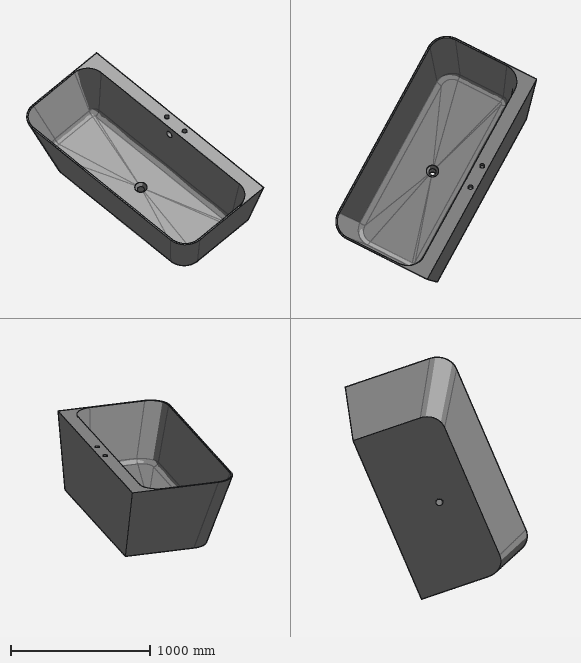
import cadquery as cq

height = 550.0

rim_half_width = 845.0
rim_front = -800.0
rim_radius = 149.0
base_half_width = 688.0
base_front = -652.0
base_radius = 135.0

lip = 12.0
mouth_half_width = rim_half_width - lip
mouth_back = -101.0
mouth_front = rim_front + lip
mouth_radius = 135.0

floor_z = 134.0
floor_half_width = 708.0
floor_back = -159.0
floor_front = -668.0
floor_back_radius = 42.0
floor_front_radius = 122.0
floor_fillet = 40.0

drain_y = -400.0
drain_radius = 25.0
drain_rim_radius = 44.0
drain_rim_depth = 25.0
floor_fall = 15.0
fall_end_scale = 0.05

tap_half_spacing = 90.0
tap_y = -45.0
tap_radius = 17.0
tap_depth = 50.0
overflow_z = 482.0
overflow_radius = 25.0
overflow_end_y = -76.0


def outline(half_width, back, front, back_radius, front_radius, z):
    """Closed rectangle with rounded front corners and, if back_radius > 0, rounded back corners."""
    sketch = cq.Sketch().push([(0, (back + front) / 2)]).rect(2 * half_width, back - front)
    sketch = sketch.reset().vertices("<Y").fillet(front_radius)
    if back_radius > 0:
        sketch = sketch.reset().vertices(">Y").fillet(back_radius)
    return sketch.reset()._faces.Faces()[0].outerWire().translate(cq.Vector(0, 0, z))


def make_shell():
    base = outline(base_half_width, 0, base_front, 0, base_radius, 0)
    rim = outline(rim_half_width, 0, rim_front, 0, rim_radius, height)
    return cq.Workplane(cq.Solid.makeLoft([base, rim], True))


def make_basin():
    """Volume of the basin with its floor edge rounded."""
    floor = outline(
        floor_half_width, floor_back, floor_front, floor_back_radius, floor_front_radius, floor_z
    )
    mouth = outline(
        mouth_half_width, mouth_back, mouth_front, mouth_radius, mouth_radius, height
    )
    basin = cq.Workplane(cq.Solid.makeLoft([floor, mouth], True))
    return basin.faces("<Z").edges().fillet(floor_fillet)


def make_floor_fall(basin):
    """Shallow pyramid below the flat floor, narrowing towards the drain."""
    floor_edge = basin.faces("<Z").val().outerWire()
    to_drain = cq.Vector(0, drain_y, floor_z)
    low_point = cq.Vector(0, drain_y, floor_z - floor_fall)
    low_edge = floor_edge.translate(-to_drain).scale(fall_end_scale).translate(low_point)
    return cq.Solid.makeLoft([floor_edge, low_edge], True)


def make_drain():
    """Through hole with a conical seat at the low point of the floor."""
    hole = cq.Workplane().center(0, drain_y).circle(drain_radius).extrude(floor_z)
    seat_bottom = floor_z - floor_fall - drain_rim_depth
    seat = cq.Solid.makeCone(
        drain_radius, drain_rim_radius, drain_rim_depth, cq.Vector(0, drain_y, seat_bottom)
    )
    throat = cq.Solid.makeCylinder(
        drain_rim_radius, floor_fall, cq.Vector(0, drain_y, floor_z - floor_fall)
    )
    return hole.union(cq.Workplane(seat)).union(cq.Workplane(throat))


def make_tap_holes():
    holes = cq.Workplane().workplane(offset=height)
    holes = holes.pushPoints([(-tap_half_spacing, tap_y), (tap_half_spacing, tap_y)])
    return holes.circle(tap_radius).extrude(-tap_depth)


def make_overflow():
    """Horizontal blind hole reaching into the back wall from inside the basin."""
    start = cq.Vector(0, floor_back, overflow_z)
    length = overflow_end_y - floor_back
    return cq.Solid.makeCylinder(overflow_radius, length, start, cq.Vector(0, 1, 0))


basin = make_basin()
result = make_shell().cut(basin).cut(cq.Workplane(make_floor_fall(basin)))
result = result.cut(make_drain()).cut(make_tap_holes()).cut(cq.Workplane(make_overflow()))